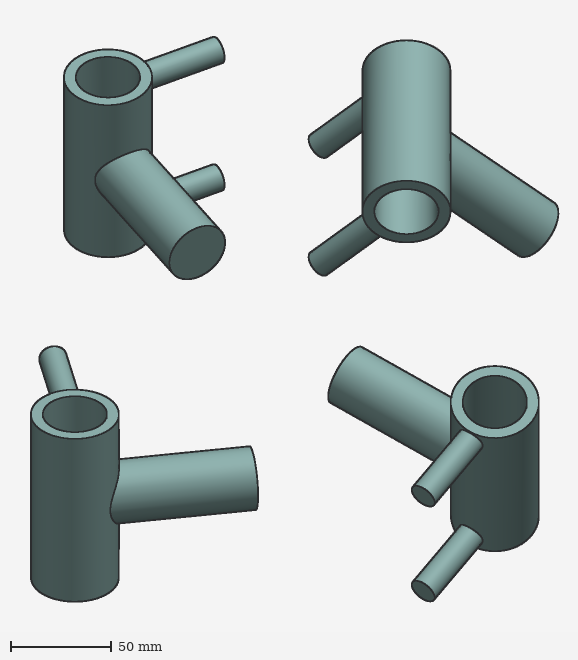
import cadquery as cq

overall_length = 112.0
overall_depth = 85.0

tube_diameter = 44.0
bore_diameter = 32.0
tube_height = 98.0

branch_diameter = bore_diameter
peg_diameter = 14.0
peg_end_distance = 8.0

tube_radius = tube_diameter / 2
branch_reach = overall_length - tube_radius
peg_reach = overall_depth - tube_radius
peg_heights = (peg_end_distance, tube_height - peg_end_distance)


def rod(diameter, reach, height, direction):
    """Solid round bar starting on the tube axis at the given height."""
    start = cq.Vector(0, 0, height)
    return cq.Workplane(cq.Solid.makeCylinder(diameter / 2, reach, start, direction))


body = cq.Workplane("XY").circle(tube_radius).extrude(tube_height)
body = body.union(rod(branch_diameter, branch_reach, tube_height / 2, cq.Vector(1, 0, 0)))
for peg_height in peg_heights:
    body = body.union(rod(peg_diameter, peg_reach, peg_height, cq.Vector(0, 1, 0)))

bore = cq.Workplane("XY").circle(bore_diameter / 2).extrude(tube_height)
result = body.cut(bore)